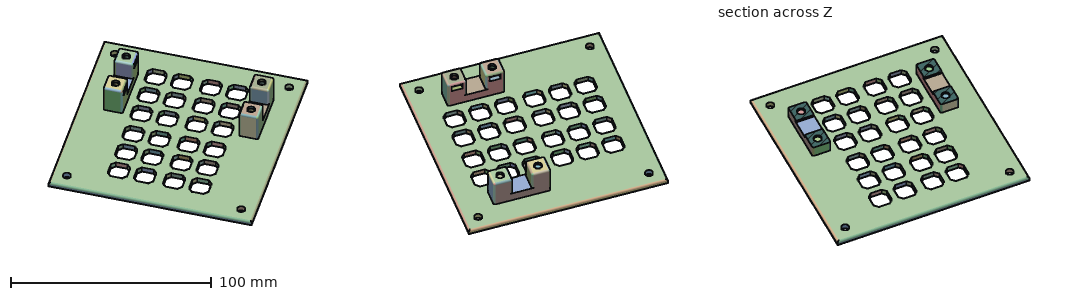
import cadquery as cq
import math

plate_side = 105.0
plate_thickness = 3.0
edge_radius = 1.0
hole_diameter = 4.0
corner_hole_offset = 45.0

window_pitch = 13.5
window_size = 10.0
window_corner = 2.0
centre_bar = 5.0
column_pairs = 2
row_pairs = 3

bracket_x = 35.0
bracket_y = 20.0
post_side = 10.0
post_gap = 10.0
post_height = 15.0
bridge_height = 5.0
post_pitch = post_side + post_gap
post_hole_depth = post_height - bridge_height

hexagon_sides = 6
nut_trap_width = 5.8
nut_trap_height = 3.0
nut_trap_roof = 1.5

plate_top = plate_thickness
post_top = plate_top + post_height


def box_on(z_bottom, size_x, size_y, size_z, x, y):
    """Box centred on (x, y) that stands on the height z_bottom."""
    base = cq.Workplane("XY", origin=(x, y, z_bottom))
    return base.box(size_x, size_y, size_z, centered=(True, True, False))


def make_plate():
    plate = box_on(0, plate_side, plate_side, plate_thickness, 0, 0)
    plate = plate.faces("<Z or >Z").edges().fillet(edge_radius)
    corners = [
        (sx * corner_hole_offset, sy * corner_hole_offset)
        for sx in (-1, 1)
        for sy in (-1, 1)
    ]
    return plate.faces(">Z").workplane(origin=(0, 0, 0)).pushPoints(corners).hole(hole_diameter)


def mirrored_centres(pairs):
    """Window centres along one axis, mirrored about the centre bar."""
    first = (centre_bar + window_size) / 2
    positive = [first + i * window_pitch for i in range(pairs)]
    return [-c for c in positive] + positive


def make_windows():
    centres = [
        (x, y)
        for x in mirrored_centres(column_pairs)
        for y in mirrored_centres(row_pairs)
    ]
    return (
        cq.Workplane("XY")
        .pushPoints(centres)
        .rect(window_size, window_size)
        .extrude(plate_thickness)
        .edges("|Z")
        .chamfer(window_corner)
    )


def make_nut_trap(x, y):
    """Hexagonal nut seat, with two flats along X, and the straight slot the nut slides in through."""
    trap_bottom = post_top - nut_trap_roof - nut_trap_height
    across_corners = nut_trap_width / math.cos(math.pi / hexagon_sides)
    seat = (
        cq.Workplane("XY", origin=(x, y, trap_bottom))
        .polygon(hexagon_sides, across_corners)
        .extrude(nut_trap_height)
    )
    inward = -1 if x > 0 else 1
    slot_length = post_side / 2
    slot_x = x + inward * slot_length / 2
    return seat.union(box_on(trap_bottom, slot_length, nut_trap_width, nut_trap_height, slot_x, y))


def make_post(x, y):
    post = box_on(plate_top, post_side, post_side, post_height, x, y)
    post = post.edges("|Z or >Z").fillet(edge_radius)
    screw_hole = (
        cq.Workplane("XY", origin=(x, y, post_top))
        .circle(hole_diameter / 2)
        .extrude(-post_hole_depth)
    )
    return post.cut(screw_hole).cut(make_nut_trap(x, y))


def make_bracket(x):
    bridge_length = post_gap + 2 * edge_radius
    bracket = box_on(plate_top, post_side, bridge_length, bridge_height, x, bracket_y)
    for side in (-1, 1):
        bracket = bracket.union(make_post(x, bracket_y + side * post_pitch / 2))
    return bracket


result = make_plate().cut(make_windows())
for bracket_side in (-1, 1):
    result = result.union(make_bracket(bracket_side * bracket_x))